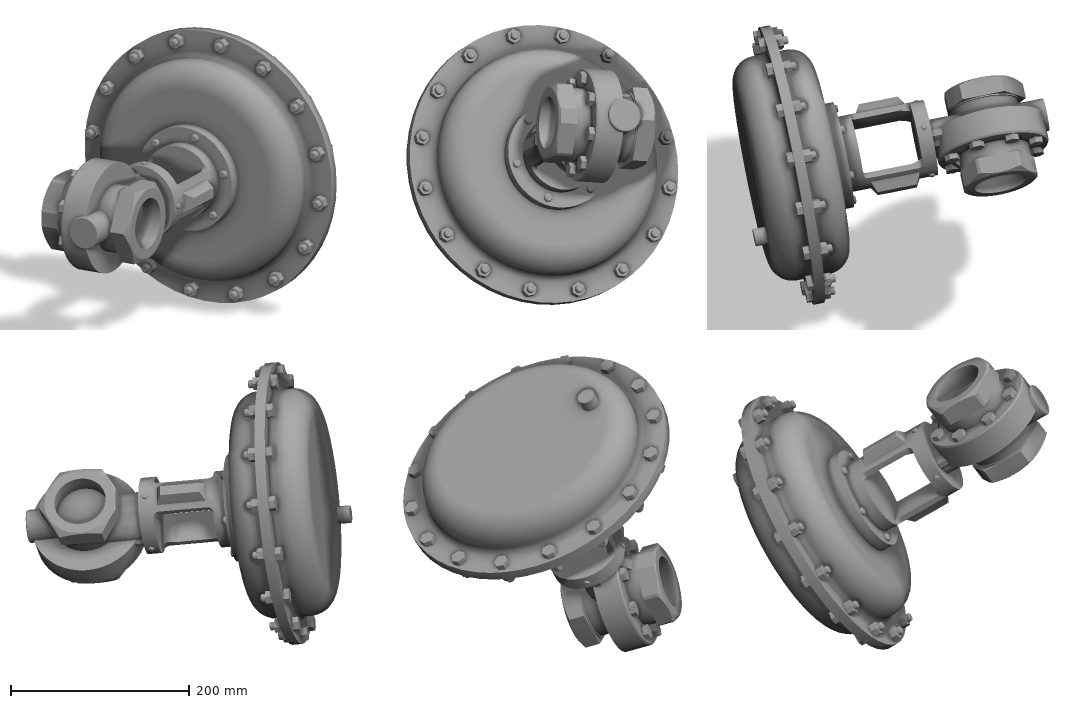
import cadquery as cq
import math


casing_top = 271.0
casing_bottom = 180.0
casing_radius = 128.2
crown_radius = 26.8
flare_radius = 6.5
flange_radius = 159.0
flange_top = 231.0
flange_bottom = 219.5

port_radius = 10.0
port_end = 285.3
port_x = -84.0
port_z = 27.8

flange_bolt_count = 16
flange_bolt_circle = 147.5
flange_bolt_start = 15.0
bolt_head_height = 7.0
bolt_head_corner = 8.5
bolt_head_turn = 22.5
nut_height = 8.8
nut_corner = 8.0
nut_turn = -7.5
nut_face_radius = 7.0
bolt_radius = 4.5
bolt_tip_bevel = 1.0
bolt_end = 205.0

collar_radius = 60.2
collar_bottom = 166.0
collar_screw_count = 6
collar_screw_circle = 52.0
collar_screw_start = 15.0
collar_screw_radius = 4.5
collar_screw_height = 4.2
collar_screw_bevel = 1.5

yoke_radius = 43.0
yoke_bottom = 66.0
window_top = 150.0
window_bottom = 82.0
strut_half_width = 18.5
window_corner_radius = 6.0
opening_half_width = 32.0
opening_taper_width = 3.5
opening_taper_height = 12.0

pad_base_x = 39.8
pad_face_x = 53.0
pad_centre_y = 114.8
pad_base_length = 57.8
pad_base_width = 24.5
pad_face_length = 44.7
pad_face_width = 11.5

set_screw_y = 73.3
set_screw_radius = 3.0
set_screw_reach = 45.5
set_screw_bevel = 0.7

neck_radius = 18.5
neck_end = -67.0
neck_bevel = 1.0
bonnet_half_depth = 30.0
shoulder_edge_x = -13.5
shoulder_edge_z = 25.7
shoulder_outer_z = 22.5
lug_left_x = -9.5
lug_right_x = -3.0
lug_reach = 33.5

disc_radius = 63.5
disc_left = -31.7
disc_edge_length = 2.0
disc_edge_height = 1.25
disc_bolt_count = 8
disc_bolt_circle = 52.0
disc_bolt_corner = 8.5
disc_bolt_height = 6.5
disc_bolt_turn = -12.5

bore_radius = 29.2
bore_depth = 23.0

left_hub_radius = 41.0
left_nut_outer = -69.5
left_nut_inner = -48.0
left_nut_half_flats = 41.2
left_nut_top_cut = 41.2
left_nut_bottom_cut = 42.5
left_nut_edge_cut = 46.5
left_nut_face_radius = 39.8

right_hub_radius = 38.5
right_nut_inner = 22.2
right_nut_outer = 45.5
right_nut_half_flats = 42.0
right_nut_corner_cut = 40.5
right_nut_face_radius = 40.5
right_nut_ring_radius = 40.5
right_nut_ring_end = 23.5

cos_30 = math.cos(math.radians(30))
nut_bevel_slope = math.tan(math.radians(30))

wedge_height = 50.5
wedge_width = 14.5


def cylinder_y(radius, y_low, y_high, x=0.0, z=0.0):
    return cq.Workplane("XZ", origin=(x, y_high, z)).circle(radius).extrude(y_high - y_low)


def cylinder_x(radius, x_low, x_high):
    return cq.Workplane("YZ", origin=(x_low, 0, 0)).circle(radius).extrude(x_high - x_low)


def hexagon(corner_radius, turn):
    angles = [math.radians(turn + 60 * i) for i in range(6)]
    return [(corner_radius * math.cos(a), corner_radius * math.sin(a)) for a in angles]


def hex_y(corner_radius, turn, y_low, y_high, x, z):
    outline = cq.Workplane("XZ", origin=(x, y_high, z)).polyline(hexagon(corner_radius, turn))
    return outline.close().extrude(y_high - y_low)


def hex_x(corner_radius, turn, x_low, x_high, y=0.0, z=0.0):
    outline = cq.Workplane("YZ", origin=(x_low, y, z)).polyline(hexagon(corner_radius, turn))
    return outline.close().extrude(x_high - x_low)


def ring_positions(count, circle_radius, start):
    """Angle in degrees and the two in-plane coordinates of each place on a bolt circle."""
    for i in range(count):
        angle = start + i * 360 / count
        a = math.radians(angle)
        yield angle, circle_radius * math.cos(a), circle_radius * math.sin(a)


def fuse(bodies):
    bodies = list(bodies)
    merged = bodies[0]
    for body in bodies[1:]:
        merged = merged.union(body)
    return merged


def make_casing():
    crown_flat = casing_radius - crown_radius
    flare_edge = casing_radius + flare_radius
    mid = math.sqrt(0.5)
    crown_mid = crown_flat + crown_radius * mid
    flare_mid = flare_edge - flare_radius * mid
    crown_rise = crown_radius * (1 - mid)
    flare_rise = flare_radius * (1 - mid)
    profile = (
        cq.Workplane("XY")
        .moveTo(0, casing_bottom)
        .lineTo(crown_flat, casing_bottom)
        .threePointArc((crown_mid, casing_bottom + crown_rise), (casing_radius, casing_bottom + crown_radius))
        .lineTo(casing_radius, flange_bottom - flare_radius)
        .threePointArc((flare_mid, flange_bottom - flare_rise), (flare_edge, flange_bottom))
        .lineTo(flange_radius, flange_bottom)
        .lineTo(flange_radius, flange_top)
        .lineTo(flare_edge, flange_top)
        .threePointArc((flare_mid, flange_top + flare_rise), (casing_radius, flange_top + flare_radius))
        .lineTo(casing_radius, casing_top - crown_radius)
        .threePointArc((crown_mid, casing_top - crown_rise), (crown_flat, casing_top))
        .lineTo(0, casing_top)
        .close()
    )
    casing = profile.revolve(360, (0, 0, 0), (0, 1, 0))
    return casing.union(cylinder_y(port_radius, casing_top, port_end, port_x, port_z))


def make_flange_bolt(angle, x, z):
    nut_bottom = flange_bottom - nut_height
    head = hex_y(bolt_head_corner, angle + bolt_head_turn, flange_top, flange_top + bolt_head_height, x, z)
    nut = hex_y(nut_corner, angle + nut_turn, nut_bottom, flange_bottom, x, z)
    bevel = nut_corner - nut_face_radius
    cone = cylinder_y(nut_corner, nut_bottom, flange_bottom, x, z)
    cone = cone.faces("<Y").chamfer(bevel * nut_bevel_slope, bevel)
    shank = cylinder_y(bolt_radius, bolt_end, nut_bottom, x, z).faces("<Y").chamfer(bolt_tip_bevel)
    return [head, nut.intersect(cone), shank]


def make_flange_bolts():
    places = ring_positions(flange_bolt_count, flange_bolt_circle, flange_bolt_start)
    return fuse(body for place in places for body in make_flange_bolt(*place))


def make_collar():
    collar = cylinder_y(collar_radius, collar_bottom, casing_bottom)
    for _, x, z in ring_positions(collar_screw_count, collar_screw_circle, collar_screw_start):
        screw = cylinder_y(collar_screw_radius, collar_bottom - collar_screw_height, collar_bottom, x, z)
        collar = collar.union(screw.faces("<Y").chamfer(collar_screw_bevel))
    return collar


def make_yoke():
    yoke = cylinder_y(yoke_radius, yoke_bottom, collar_bottom)
    window_height = window_top - window_bottom
    window_centre = (window_top + window_bottom) / 2
    side_depth = yoke_radius - strut_half_width
    for side in (-1, 1):
        beside = cq.Workplane("XY").box(2 * yoke_radius, window_height, 2 * side_depth)
        beside = beside.edges("|X").fillet(window_corner_radius)
        beside_z = side * (strut_half_width + side_depth)
        yoke = yoke.cut(beside.translate((0, window_centre, beside_z)))
    taper_x = opening_half_width - opening_taper_width
    opening = (
        cq.Workplane("XY")
        .moveTo(-opening_half_width, window_top)
        .lineTo(-opening_half_width, window_bottom + opening_taper_height)
        .lineTo(-taper_x, window_bottom)
        .lineTo(taper_x, window_bottom)
        .lineTo(opening_half_width, window_bottom + opening_taper_height)
        .lineTo(opening_half_width, window_top)
        .close()
        .extrude(strut_half_width + window_corner_radius, both=True)
    )
    yoke = yoke.cut(opening)
    pad = (
        cq.Workplane("YZ", origin=(pad_base_x, pad_centre_y, 0))
        .rect(pad_base_length, pad_base_width)
        .workplane(offset=pad_face_x - pad_base_x)
        .rect(pad_face_length, pad_face_width)
        .loft()
    )
    set_screw = (
        cq.Workplane("YZ", origin=(0, set_screw_y, 0))
        .circle(set_screw_radius)
        .extrude(set_screw_reach)
        .faces(">X")
        .chamfer(set_screw_bevel)
    )
    for turn in (0, 180):
        yoke = yoke.union(pad.rotate((0, 0, 0), (0, 1, 0), turn))
    for turn in (0, 90, 180, 270):
        yoke = yoke.union(set_screw.rotate((0, 0, 0), (0, 1, 0), turn))
    return yoke


def make_neck():
    stub = cylinder_y(neck_radius, neck_end, 0).faces("<Y").chamfer(neck_bevel)
    bonnet = (
        cq.Workplane("XZ", origin=(0, yoke_bottom, 0))
        .ellipse(neck_radius, bonnet_half_depth)
        .extrude(yoke_bottom)
    )
    upper_half = [
        (-neck_radius, shoulder_outer_z),
        (shoulder_edge_x, shoulder_edge_z),
        (lug_left_x, lug_reach),
        (lug_right_x, lug_reach),
        (0, bonnet_half_depth),
    ]
    lower_half = [(x, -z) for x, z in reversed(upper_half)]
    lugs = (
        cq.Workplane("XZ", origin=(0, yoke_bottom, 0))
        .polyline(upper_half + lower_half)
        .close()
        .extrude(yoke_bottom)
    )
    return stub.union(bonnet).union(lugs)


def make_disc():
    disc = cylinder_x(disc_radius, disc_left, 0)
    disc = disc.faces("<X").chamfer(disc_edge_length, disc_edge_height)
    half_step = 180 / disc_bolt_count
    for angle, y, z in ring_positions(disc_bolt_count, disc_bolt_circle, half_step):
        head = hex_x(disc_bolt_corner, angle + disc_bolt_turn, disc_left - disc_bolt_height, disc_left, y, z)
        disc = disc.union(head)
    return disc


def y_slab(x_low, x_high, y_low, y_high, z_size):
    slab = cq.Workplane("XY").box(x_high - x_low, y_high - y_low, z_size)
    return slab.translate(((x_low + x_high) / 2, (y_low + y_high) / 2, 0))


def make_left_end():
    corner = left_nut_half_flats / cos_30
    blank = cylinder_x(corner, left_nut_outer, left_nut_inner)
    face_bevel = corner - left_nut_face_radius
    blank = blank.faces("<X").chamfer(face_bevel * nut_bevel_slope, face_bevel)
    corner_trim = hex_x(left_nut_edge_cut / cos_30, 30, left_nut_outer, left_nut_inner)
    y_trim = y_slab(left_nut_outer, left_nut_inner, -left_nut_bottom_cut, left_nut_top_cut, 2 * corner)
    nut = hex_x(corner, 0, left_nut_outer, left_nut_inner)
    nut = nut.intersect(blank).intersect(corner_trim).intersect(y_trim)
    return nut.union(cylinder_x(left_hub_radius, left_nut_inner, disc_left))


def make_right_end():
    corner = right_nut_half_flats / cos_30
    blank = cylinder_x(corner, right_nut_ring_end, right_nut_outer)
    face_bevel = corner - right_nut_face_radius
    blank = blank.faces(">X").chamfer(face_bevel * nut_bevel_slope, face_bevel)
    y_trim = y_slab(right_nut_ring_end, right_nut_outer, -corner, right_nut_corner_cut, 2 * corner)
    nut = hex_x(corner, 0, right_nut_ring_end, right_nut_outer)
    nut = nut.intersect(blank).intersect(y_trim)
    ring = cylinder_x(right_nut_ring_radius, right_nut_inner, right_nut_ring_end)
    hub = cylinder_x(right_hub_radius, 0, right_nut_inner)
    return nut.union(ring).union(hub)


def make_wedge():
    wedge_foot = (bore_radius + left_hub_radius) / 2
    wedge_run = wedge_height - wedge_foot
    return (
        cq.Workplane("XY")
        .moveTo(disc_left, wedge_height)
        .lineTo(disc_left - wedge_run, wedge_foot)
        .lineTo(disc_left, wedge_foot)
        .close()
        .extrude(wedge_width / 2, both=True)
    )


actuator = fuse([make_casing(), make_flange_bolts(), make_collar(), make_yoke()])
valve = fuse([make_disc(), make_neck(), make_left_end(), make_right_end(), make_wedge()])
valve = valve.cut(cylinder_x(bore_radius, left_nut_outer, left_nut_outer + bore_depth))
valve = valve.cut(cylinder_x(bore_radius, right_nut_outer - bore_depth, right_nut_outer))

result = actuator.union(valve)